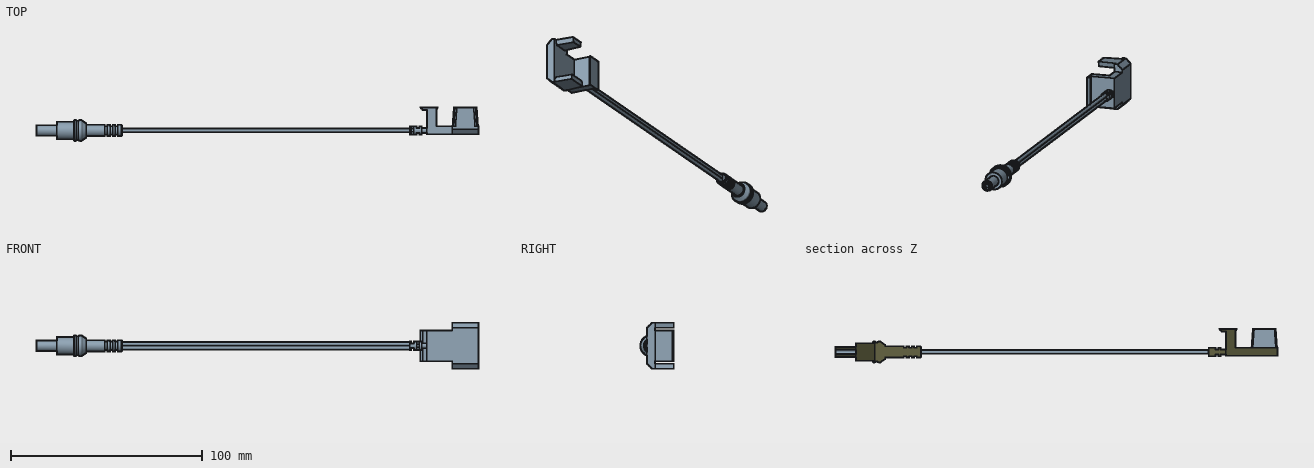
import cadquery as cq


barrel_length = 10.5
barrel_radius = 2.8
barrel_wall = 0.7
socket_radius = 1.04
housing_radius = 4.5
bead_start = 19.5
bead_peak = 20.0
housing_end = 20.7
neck_radius = 5.0
bead_radius = 5.5

boot_end = 44.7
boot_radius = 3.0
flange_start = 22.0
flange_peak = 22.8
flange_rim = 23.7
flange_rim_radius = 5.3
flange_end = 26.0
flange_end_radius = 3.7
groove_count = 3
first_groove = 35.7
groove_width = 1.31
groove_pitch = 2 * groove_width
groove_radius = 2.3
boot_chamfer = 0.5

wire_radius = 1.04

relief_start = 194.5
relief_radius = 2.3
relief_collar = 1.0
notch_width = 1.4
notch_half_gap = 1.2
relief_end = relief_start + relief_collar + 4 * notch_width
core_radius = 1.4

clip_end = 230.4
clip_front = -2.0
clip_back = 12.0
plate_back = 2.3
arm_start = 203.5
arm_end = 208.5
arm_half_height = 8.0
hook_tip = 200.0
hook_bevel = 1.4
catch_length = 0.7
catch_depth = 1.0
wide_start = 216.5
wide_height = 24.2
edge_chamfer = 2.8
ear_thickness = 2.8
upper_ear_inset = 1.8
lower_ear_inset = 0.2
ear_side_draft = 0.7
ear_back_taper = 0.7


def turned(outline):
    """Solid of revolution about X from a closed outline in the XZ plane."""
    return outline.revolve(360, (0, 0, 0), (1, 0, 0))


def rod(start, end, radius, bore=0.0):
    """Cylinder or tube along the plug axis."""
    outline = cq.Workplane("XZ").polyline([(start, bore), (start, radius), (end, radius), (end, bore)])
    return turned(outline.close())


def make_barrel():
    return rod(0, barrel_length, barrel_radius, barrel_radius - barrel_wall)


def make_insulator():
    return rod(0, barrel_length, barrel_radius - barrel_wall, socket_radius)


def make_housing():
    """Cylindrical grip that ends in a rounded bead next to the boot."""
    outline = (
        cq.Workplane("XZ")
        .moveTo(barrel_length, 0)
        .lineTo(barrel_length, housing_radius)
        .lineTo(bead_start, housing_radius)
        .threePointArc((bead_peak, bead_radius), (housing_end, neck_radius))
        .lineTo(housing_end, 0)
        .close()
    )
    return turned(outline)


def make_boot():
    """Sleeve with a rounded, tapered flange in front and grooves at the cable end."""
    outline = (
        cq.Workplane("XZ")
        .moveTo(housing_end, 0)
        .lineTo(housing_end, neck_radius)
        .lineTo(flange_start, neck_radius)
        .threePointArc((flange_peak, bead_radius), (flange_rim, flange_rim_radius))
        .lineTo(flange_end, flange_end_radius)
        .lineTo(flange_end, boot_radius)
        .lineTo(boot_end - boot_chamfer, boot_radius)
        .lineTo(boot_end, boot_radius - boot_chamfer)
        .lineTo(boot_end, 0)
        .close()
    )
    boot = turned(outline)
    for i in range(groove_count):
        start = first_groove + i * groove_pitch
        boot = boot.cut(rod(start, start + groove_width, bead_radius, groove_radius))
    return boot


def make_wire(side):
    """One conductor of the twin cable, above (+1) or below (-1) the axis."""
    return rod(boot_end, relief_start, wire_radius).translate((0, 0, side * wire_radius))


def make_relief():
    """Notched sleeve: one notch pair above and below, the next on both sides."""
    relief = rod(relief_start, relief_end, relief_radius)
    span = 2 * relief_radius
    notch = cq.Workplane("XY").box(notch_width, span, span, centered=(False, True, False))
    notch = notch.translate((0, 0, notch_half_gap))
    upright_notch = relief_start + relief_collar
    sideways_notch = upright_notch + 2 * notch_width
    for start, first_angle in ((upright_notch, 0), (sideways_notch, 90)):
        for angle in (first_angle, first_angle + 180):
            turned_notch = notch.rotate((0, 0, 0), (1, 0, 0), angle)
            relief = relief.cut(turned_notch.translate((start, 0, 0)))
    return relief.union(rod(relief_start, arm_start, core_radius))


def ear_outline(inset):
    """Corners of an ear in plan, set in from the ends of the wide plate and narrower at the back."""
    left = wide_start + inset
    right = clip_end - inset
    return [
        (left, plate_back),
        (right, plate_back),
        (right - ear_back_taper, clip_back),
        (left + ear_back_taper, clip_back),
    ]


def make_ear(inset):
    """Side wall at the top of the clip, with flanks drafted narrower toward its inner face."""
    inner_height = wide_height / 2 - ear_thickness
    inner_face = cq.Workplane("XY", origin=(0, 0, inner_height)).polyline(ear_outline(inset + ear_side_draft))
    outer_face = inner_face.close().workplane(offset=ear_thickness).polyline(ear_outline(inset))
    return outer_face.close().loft()


def make_clip():
    arm_outline = [
        (arm_start, clip_front),
        (clip_end, clip_front),
        (clip_end, plate_back),
        (arm_end, plate_back),
        (arm_end, clip_back - catch_depth),
        (arm_end + catch_length, clip_back),
        (hook_tip, clip_back),
        (hook_tip + hook_bevel, clip_back - hook_bevel),
        (arm_start, clip_back - hook_bevel),
    ]
    clip = cq.Workplane("XY").polyline(arm_outline).close().extrude(arm_half_height, both=True)
    wide_plate = cq.Workplane("XY").box(
        clip_end - wide_start, plate_back - clip_front, wide_height, centered=(False, False, True)
    )
    wide_plate = wide_plate.translate((wide_start, clip_front, 0))
    wide_plate = wide_plate.faces("<Y").edges("|X").chamfer(edge_chamfer)
    upper_ear = make_ear(upper_ear_inset)
    lower_ear = make_ear(lower_ear_inset).mirror("XY")
    return clip.union(wide_plate).union(upper_ear).union(lower_ear)


barrel = make_barrel()
insulator = make_insulator()
housing = make_housing()
boot = make_boot()
wires = [make_wire(side) for side in (1, -1)]
relief = make_relief()
clip = make_clip()

result = cq.Compound.makeCompound([
    barrel.val(),
    insulator.val(),
    housing.val(),
    boot.val(),
    *[wire.val() for wire in wires],
    relief.val(),
    clip.val(),
])